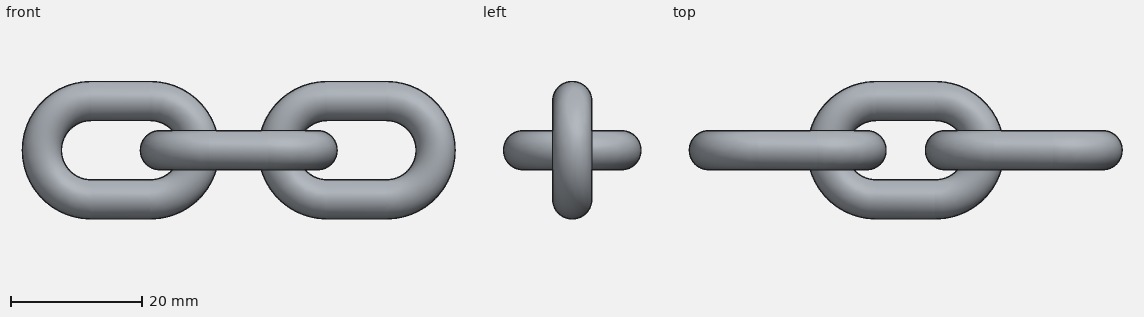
import cadquery as cq

chain_length = 66.0
link_length = 30.0
link_width = 21.0
wire_diameter = 6.0
link_count = 3

wire_radius = wire_diameter / 2
bend_radius = (link_width - wire_diameter) / 2
straight_length = link_length - link_width
link_pitch = (chain_length - link_length) / (link_count - 1)


def straight_bar(side):
    """Straight wire along X on one side of the link (side is +1 or -1)."""
    return (
        cq.Workplane("YZ", origin=(-straight_length / 2, 0, side * bend_radius))
        .circle(wire_radius)
        .extrude(straight_length)
    )


def end_bend(end):
    """Half-torus bend at one end of the link (end is +1 or -1)."""
    return (
        cq.Workplane("YZ", origin=(end * straight_length / 2, 0, 0))
        .center(0, bend_radius)
        .circle(wire_radius)
        .revolve(180, (0, -bend_radius), (end, -bend_radius))
    )


def chain_link():
    """One closed oval link, centred at the origin and lying in the XZ plane."""
    link = straight_bar(1).union(straight_bar(-1))
    for end in (-1, 1):
        link = link.union(end_bend(end))
    return link


links = []
for index in range(link_count):
    centre_x = (index - (link_count - 1) / 2) * link_pitch
    turn = 90 * (index % 2)
    link = chain_link().rotate((0, 0, 0), (1, 0, 0), turn).translate((centre_x, 0, 0))
    links.append(link.val())

result = cq.Compound.makeCompound(links)